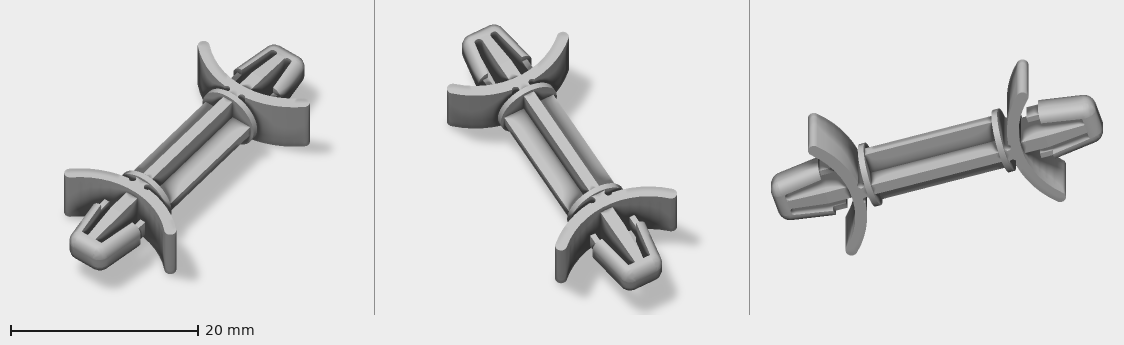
import cadquery as cq
import math

end_y = 18.15
body_half_length = 7.15
flange_thickness = 0.65
flange_y = body_half_length + flange_thickness

rib_span = 6.03
rib_thickness = 1.25
flange_diameter = 6.9

wing_span = 14.8
wing_height = 6.25
wing_thickness = 1.27
wing_inner_y = 9.6
wing_tip_y = 12.3

relief_radius = 0.4
relief_x = 1.0

stem_width = 1.45
stem_height = 4.7
stem_tip_width = 1.0

barb_y = 12.3
barb_span = 6.5
barb_slope = 0.16
head_height = 3.63
head_edge_radius = 1.2
head_end_radius = 1.27
slot_end_y = 16.65
slot_half_width = 2.1
slot_end_half_width = 1.35
slot_round_radius = 0.35

tab_y = 10.85
tab_inner_x = 2.1
tab_width = 0.6
tab_height = 2.0
tab_root_depth = 0.6


def prism(points, height):
    """Closed XY polygon extruded symmetrically about Z = 0."""
    return cq.Workplane("XY").polyline(points).close().extrude(height / 2, both=True)


def mirrored_outline(right_side):
    """Outline symmetric about the Y axis, from its right-hand points."""
    return right_side + [(-x, y) for x, y in reversed(right_side)]


def block(x0, x1, y0, y1, height):
    """Rectangular block centred on Z = 0."""
    return prism([(x0, y0), (x1, y0), (x1, y1), (x0, y1)], height)


def make_body():
    """Two crossed ribs running between the flanges."""
    length = 2 * body_half_length
    flat_rib = cq.Workplane("XY").box(rib_span, length, rib_thickness)
    upright_rib = cq.Workplane("XY").box(rib_thickness, length, rib_span)
    return flat_rib.union(upright_rib)


def make_flange():
    plane = cq.Workplane("XZ", origin=(0, body_half_length, 0))
    return plane.circle(flange_diameter / 2).extrude(-flange_thickness)


def make_wing():
    """Arc-shaped strip of constant thickness with full-round tips."""
    tip_radius = wing_thickness / 2
    tip_x = wing_span / 2 - tip_radius
    rise = wing_tip_y - wing_inner_y
    mid_radius = (tip_x**2 + rise**2) / (2 * rise)
    center_y = wing_inner_y - tip_radius + mid_radius
    half_angle = math.asin(tip_x / mid_radius)

    def arc_point(radius, angle):
        return (radius * math.sin(angle), center_y - radius * math.cos(angle))

    def tip_end(side):
        x, y = arc_point(mid_radius, side * half_angle)
        return (x + side * tip_radius * math.cos(half_angle), y + tip_radius * math.sin(half_angle))

    inner = mid_radius - tip_radius
    outer = mid_radius + tip_radius
    return (
        cq.Workplane("XY")
        .moveTo(*arc_point(inner, -half_angle))
        .threePointArc(arc_point(inner, 0), arc_point(inner, half_angle))
        .threePointArc(tip_end(1), arc_point(outer, half_angle))
        .threePointArc(arc_point(outer, 0), arc_point(outer, -half_angle))
        .threePointArc(tip_end(-1), arc_point(inner, -half_angle))
        .close()
        .extrude(wing_height / 2, both=True)
    )


def make_neck_and_wing():
    """Wing joined to the flange by a neck with a round relief on each side."""
    neck = block(-relief_x, relief_x, flange_y, wing_inner_y, wing_height)
    reliefs = (
        cq.Workplane("XY")
        .pushPoints([(-relief_x, flange_y + relief_radius), (relief_x, flange_y + relief_radius)])
        .circle(relief_radius)
        .extrude(wing_height / 2, both=True)
    )
    return make_wing().union(neck).cut(reliefs)


def make_stem():
    """Stem with its width tapered in plan and its height tapered from the side."""
    start_y = wing_inner_y - wing_thickness / 2
    right_side = [
        (stem_width / 2, start_y),
        (stem_width / 2, barb_y),
        (stem_tip_width / 2, slot_end_y),
    ]
    plan = prism(mirrored_outline(right_side), stem_height)
    half = stem_height / 2
    half_tip = head_height / 2
    upper_side = [(start_y, half), (barb_y, half), (slot_end_y, half_tip)]
    lower_side = [(y, -z) for y, z in reversed(upper_side)]
    side = (
        cq.Workplane("YZ")
        .polyline(upper_side + lower_side)
        .close()
        .extrude(stem_width, both=True)
    )
    return plan.intersect(side)


def make_slot(side, rounded):
    """Gap between the stem and the barb on one side."""
    slot = prism(
        [
            (side * stem_width / 2, barb_y),
            (side * slot_half_width, barb_y),
            (side * slot_end_half_width, slot_end_y),
            (side * stem_tip_width / 2, slot_end_y),
        ],
        stem_height,
    )
    if rounded:
        slot = slot.faces(">Y").edges("|Z").fillet(slot_round_radius)
    return slot


def make_head(rounded_slots):
    """Tapered, rounded snap head on its stem, split into two barbs with tabs."""
    barb_half_width = barb_span / 2
    end_half_width = barb_half_width - barb_slope * (end_y - barb_y)
    head = prism(mirrored_outline([(barb_half_width, barb_y), (end_half_width, end_y)]), head_height)
    sloped_edges = head.faces("<X or >X").edges("not |Z")
    head = sloped_edges.fillet(head_edge_radius)
    head = head.faces(">Y").edges().fillet(head_end_radius)
    head = head.union(make_stem())
    for side in (-1, 1):
        head = head.cut(make_slot(side, rounded_slots))
        tab_outer_x = tab_inner_x + tab_width
        tab = block(side * tab_inner_x, side * tab_outer_x, tab_y, barb_y + tab_root_depth, tab_height)
        head = head.union(tab)
    return head


def make_end(rounded_slots):
    """Flange, wing and snap head on the +Y side."""
    return make_flange().union(make_neck_and_wing()).union(make_head(rounded_slots))


plus_end = make_end(rounded_slots=True)
minus_end = make_end(rounded_slots=False).mirror("XZ")
result = make_body().union(plus_end).union(minus_end)